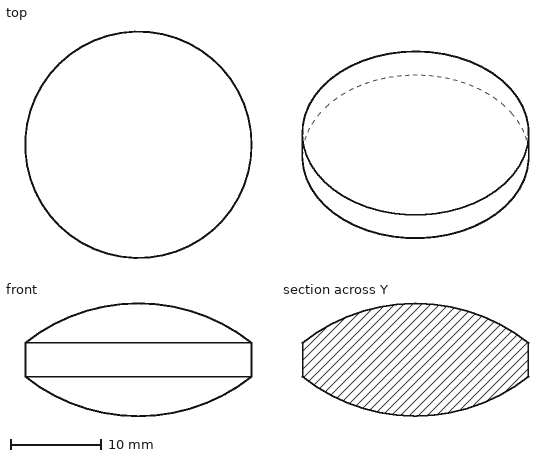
import cadquery as cq

diameter = 25.05
rim_height = 3.73
cap_height = 4.39

radius = diameter / 2
half_rim = rim_height / 2
apex = half_rim + cap_height

sphere_radius = (radius**2 + cap_height**2) / (2 * cap_height)
sphere_center = apex - sphere_radius

mid_x = radius / 2
mid_z = sphere_center + (sphere_radius**2 - mid_x**2) ** 0.5

result = (
    cq.Workplane("XZ")
    .moveTo(0, -apex)
    .threePointArc((mid_x, -mid_z), (radius, -half_rim))
    .lineTo(radius, half_rim)
    .threePointArc((mid_x, mid_z), (0, apex))
    .close()
    .revolve(360, (0, 0, 0), (0, 1, 0))
)